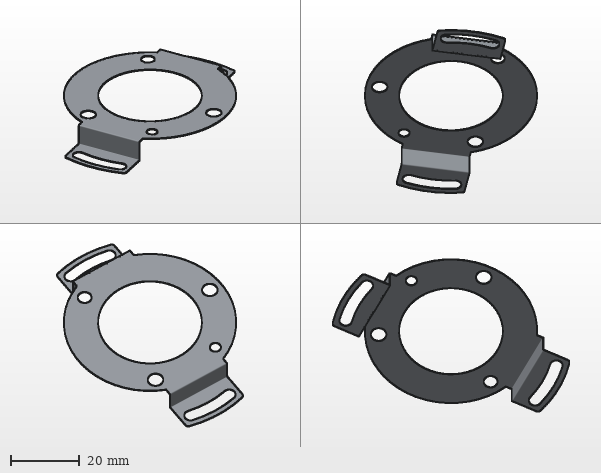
import cadquery as cq
import math

length = 70.0
height = 6.5
sheet = 0.315
bend_inner_radius = 0.15
bend_outer_radius = 0.35

ring_diameter = 50.0
bore_diameter = 30.0
hole_circle_radius = 21.0
mounting_holes = [(0, 4.5), (120, 4.0), (240, 4.5), (300, 3.2)]

tab_width = 20.0
tab_corner_radius = 1.0
wall_outer_y = 25.05
wall_inner_y = wall_outer_y - sheet
slot_radius = 31.5
slot_width = 3.65
slot_end_x = 6.8


def make_ring():
    """Flat ring with straight extensions reaching the tab walls."""
    plate_bottom = height - sheet
    disc = cq.Workplane("XY").workplane(offset=plate_bottom).circle(ring_diameter / 2).extrude(sheet)
    bridge = (
        cq.Workplane("XY").workplane(offset=plate_bottom)
        .rect(tab_width, 2 * wall_outer_y).extrude(sheet)
    )
    ring = disc.union(bridge)
    ring = ring.cut(cq.Workplane("XY").circle(bore_diameter / 2).extrude(height))
    for angle, diameter in mounting_holes:
        x = hole_circle_radius * math.cos(math.radians(angle))
        y = hole_circle_radius * math.sin(math.radians(angle))
        ring = ring.cut(cq.Workplane("XY").center(x, y).circle(diameter / 2).extrude(height))
    return ring


def make_slot():
    """Arc-shaped slot with round ends on the +Y side."""
    half_width = slot_width / 2
    inner = slot_radius - half_width
    outer = slot_radius + half_width
    end_angle = math.asin(slot_end_x / slot_radius)
    end_sin = math.sin(end_angle)
    end_cos = math.cos(end_angle)
    tip_x = slot_radius * end_sin + half_width * end_cos
    tip_y = slot_radius * end_cos - half_width * end_sin
    return (
        cq.Workplane("XY")
        .moveTo(-outer * end_sin, outer * end_cos)
        .threePointArc((0, outer), (outer * end_sin, outer * end_cos))
        .threePointArc((tip_x, tip_y), (inner * end_sin, inner * end_cos))
        .threePointArc((0, inner), (-inner * end_sin, inner * end_cos))
        .threePointArc((-tip_x, tip_y), (-outer * end_sin, outer * end_cos))
        .close().extrude(sheet)
    )


def make_tab():
    """Vertical wall and slotted foot on the +Y side."""
    half_width = tab_width / 2
    outer_radius = length / 2
    corner_y = math.sqrt(outer_radius**2 - half_width**2)
    foot = (
        cq.Workplane("XY")
        .moveTo(-half_width, wall_inner_y)
        .lineTo(half_width, wall_inner_y)
        .lineTo(half_width, corner_y)
        .threePointArc((0, outer_radius), (-half_width, corner_y))
        .close().extrude(sheet)
        .edges("|Z").edges(">Y").fillet(tab_corner_radius)
        .cut(make_slot())
    )
    wall = cq.Workplane("XY").box(tab_width, sheet, height, centered=(True, False, False))
    return foot.union(wall.translate((0, wall_inner_y, 0)))


def round_bends(body):
    """Round the inside and outside of the upper and lower bend on both tabs."""
    plate_bottom = height - sheet
    inner_bends = [(wall_inner_y, plate_bottom), (wall_outer_y, sheet)]
    outer_bends = [(wall_outer_y, height), (wall_inner_y, 0)]
    for bends, radius in [(inner_bends, bend_inner_radius), (outer_bends, bend_outer_radius)]:
        for y, z in bends:
            for side in (1, -1):
                bend_edge = cq.selectors.NearestToPointSelector((0, side * y, z))
                body = body.edges("|X").edges(bend_edge).fillet(radius)
    return body


tab = make_tab()
opposite_tab = tab.rotate((0, 0, 0), (0, 0, 1), 180)
result = round_bends(make_ring().union(tab).union(opposite_tab).clean())